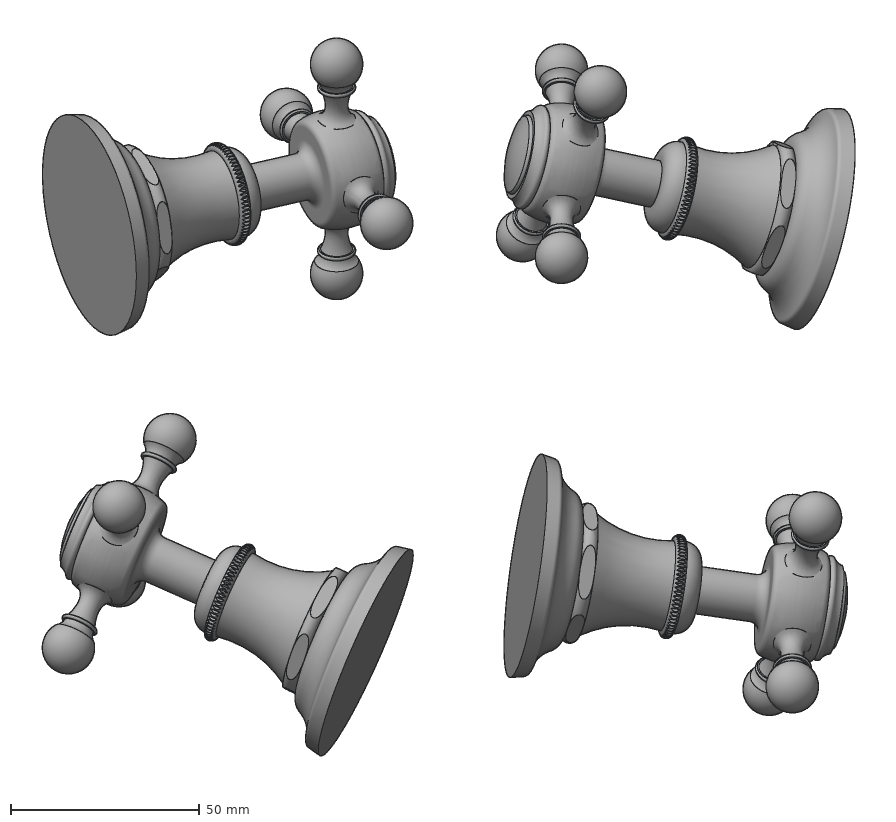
import cadquery as cq
import math

OVERALL_HEIGHT = 86.61
OVERALL_SPAN = 77.98

BASE_RADIUS = 30.0
RIM_RADIUS = 29.3
RIM_HEIGHT = 3.5
RIM_ROUND = 1.0
FLANGE_WAIST_RADIUS = 21.6
FLANGE_WAIST_HEIGHT = 9.6
FLANGE_TOP_RADIUS = 17.8
FLANGE_TOP_HEIGHT = 12.2
FLANGE_HOLLOW_SAG = 1.0
FLANGE_CROWN_SAG = 0.6

HEX_RING_RADIUS = 18.8
HEX_RING_BEAD = 2.08
HEX_FLAT_DISTANCE = 17.35
HEX_FLAT_COUNT = 6
HEX_FLAT_TURN = 15.0
HEX_RING_HEIGHT = FLANGE_TOP_HEIGHT + HEX_RING_BEAD

BELL_FOOT_RADIUS = 16.7
BELL_FOOT_HEIGHT = HEX_RING_HEIGHT + HEX_RING_BEAD
BELL_WAIST_RADIUS = 11.8
BELL_WAIST_HEIGHT = 30.5
BELL_TOP_RADIUS = 12.4
BELL_TOP_HEIGHT = 46.2
BELL_TOP_ROUND = 4.8

KNURL_RADIUS = 13.95
KNURL_BEAD = 1.55
KNURL_HEIGHT = 39.8
KNURL_TEETH = 72
KNURL_DEPTH = 0.55
KNURL_TIP_EXCESS = 0.15

SPINDLE_RADIUS = 6.35
SPINDLE_FILLET = 3.0

HUB_RADIUS = 16.1
HUB_CENTER = 72.2
HUB_HALF_BAND = 6.4
HUB_BAND_RADIUS = 14.95
HUB_BOTTOM_RADIUS = 13.2
HUB_EDGE = 1.3
HUB_EDGE_SAG = 0.35
HUB_BOTTOM = HUB_CENTER - HUB_HALF_BAND - HUB_EDGE
HUB_TOP = HUB_CENTER + HUB_HALF_BAND + HUB_EDGE

CAP_GROOVE_RADIUS = 13.4
CAP_BEAD_RADIUS = 14.1
CAP_BEAD_TOP_RADIUS = 13.75
CAP_BEAD_HEIGHT = 1.6
CAP_STEP_RADIUS = 11.95
CAP_STEP_HEIGHT = 83.85
CAP_HOLLOW_SAG = 0.3
CAP_DOME_RADIUS = 10.75
CAP_DOME_EDGE_RADIUS = 10.3
CAP_DOME_EDGE_HEIGHT = 84.8
CAP_EDGE_SAG = 0.15

ARM_COUNT = 4
BALL_RADIUS = 7.0
BALL_CENTER = OVERALL_SPAN / 2 - BALL_RADIUS
BALL_JOINT = 28.15
COLLAR_RADIUS = 5.1
COLLAR_OUTER = 25.5
COLLAR_INNER = 24.4
COLLAR_EDGE = 0.4
COLLAR_SHOULDER_RADIUS = 4.25
COLLAR_FILLET_SAG = 0.3
NECK_RADIUS = 3.05
NECK_POSITION = 20.0
FLARE_RADIUS = 3.6
FLARE_POSITION = 16.9
ARM_FOOT_RADIUS = 5.4
ARM_FOOT = 15.2
ARM_ROOT = 8.0


def turn(profile):
    """Revolve a closed half profile (x = radius) about the Y axis."""
    return profile.close().revolve(360, (0, 0, 0), (0, 1, 0))


def bead_ring(outer_radius, bead, height):
    """Ring whose rim is a half-round bead, filled to the axis."""
    shoulder = outer_radius - bead
    return turn(
        cq.Workplane("XY")
        .moveTo(0, height - bead)
        .lineTo(shoulder, height - bead)
        .threePointArc((outer_radius, height), (shoulder, height + bead))
        .lineTo(0, height + bead)
    )


def prism(points, height, half_thickness):
    """Polygon in the XZ plane, extruded both ways along Y about the given height."""
    return (
        cq.Workplane("XZ", origin=(0, height, 0))
        .polyline(points)
        .close()
        .extrude(half_thickness, both=True)
    )


def polar(radius, degrees):
    angle = math.radians(degrees)
    return (radius * math.sin(angle), radius * math.cos(angle))


def make_flange():
    round_radius = RIM_RADIUS - RIM_ROUND
    return turn(
        cq.Workplane("XY")
        .lineTo(BASE_RADIUS, 0)
        .lineTo(RIM_RADIUS, RIM_HEIGHT)
        .tangentArcPoint((round_radius, RIM_HEIGHT + RIM_ROUND), relative=False)
        .sagittaArc((FLANGE_WAIST_RADIUS, FLANGE_WAIST_HEIGHT), FLANGE_HOLLOW_SAG)
        .sagittaArc((FLANGE_TOP_RADIUS, FLANGE_TOP_HEIGHT), -FLANGE_CROWN_SAG)
        .lineTo(0, FLANGE_TOP_HEIGHT)
    )


def make_hex_ring():
    corner_radius = HEX_FLAT_DISTANCE / math.cos(math.pi / HEX_FLAT_COUNT)
    flat_angle = 360 / HEX_FLAT_COUNT
    corners = []
    for index in range(HEX_FLAT_COUNT):
        corners.append(polar(corner_radius, HEX_FLAT_TURN + (index + 0.5) * flat_angle))
    ring = bead_ring(HEX_RING_RADIUS, HEX_RING_BEAD, HEX_RING_HEIGHT)
    return ring.intersect(prism(corners, HEX_RING_HEIGHT, HEX_RING_BEAD))


def make_bell():
    dome_start = BELL_TOP_HEIGHT - BELL_TOP_ROUND
    return turn(
        cq.Workplane("XY")
        .moveTo(0, HEX_RING_HEIGHT)
        .lineTo(BELL_FOOT_RADIUS, HEX_RING_HEIGHT)
        .lineTo(BELL_FOOT_RADIUS, BELL_FOOT_HEIGHT)
        .threePointArc((BELL_WAIST_RADIUS, BELL_WAIST_HEIGHT), (BELL_TOP_RADIUS, KNURL_HEIGHT))
        .lineTo(BELL_TOP_RADIUS, dome_start)
        .tangentArcPoint((BELL_TOP_RADIUS - BELL_TOP_ROUND, BELL_TOP_HEIGHT), relative=False)
        .lineTo(0, BELL_TOP_HEIGHT)
    )


def make_knurled_ring():
    """Bead ring cut by V grooves; the tooth tips stay part of the bead."""
    pitch = 360 / KNURL_TEETH
    outline = []
    for tooth in range(KNURL_TEETH):
        outline.append(polar(KNURL_RADIUS + KNURL_TIP_EXCESS, tooth * pitch))
        outline.append(polar(KNURL_RADIUS - KNURL_DEPTH, (tooth + 0.5) * pitch))
    ring = bead_ring(KNURL_RADIUS, KNURL_BEAD, KNURL_HEIGHT)
    return ring.intersect(prism(outline, KNURL_HEIGHT, KNURL_BEAD))


def make_spindle():
    return turn(
        cq.Workplane("XY")
        .moveTo(0, KNURL_HEIGHT)
        .lineTo(SPINDLE_RADIUS, KNURL_HEIGHT)
        .lineTo(SPINDLE_RADIUS, HUB_BOTTOM - SPINDLE_FILLET)
        .tangentArcPoint((SPINDLE_RADIUS + SPINDLE_FILLET, HUB_BOTTOM), relative=False)
        .lineTo(SPINDLE_RADIUS + SPINDLE_FILLET, HUB_CENTER)
        .lineTo(0, HUB_CENTER)
    )


def make_hub():
    band_bottom = HUB_CENTER - HUB_HALF_BAND
    band_top = HUB_CENTER + HUB_HALF_BAND
    dome_rise = OVERALL_HEIGHT - CAP_DOME_EDGE_HEIGHT
    dome_sphere = (CAP_DOME_EDGE_RADIUS**2 + dome_rise**2) / (2 * dome_rise)
    dome_middle_radius = CAP_DOME_EDGE_RADIUS / 2
    dome_drop = dome_sphere - math.sqrt(dome_sphere**2 - dome_middle_radius**2)
    dome_middle = (dome_middle_radius, OVERALL_HEIGHT - dome_drop)
    bead_top = HUB_TOP + CAP_BEAD_HEIGHT
    return turn(
        cq.Workplane("XY")
        .moveTo(0, HUB_BOTTOM)
        .lineTo(HUB_BOTTOM_RADIUS, HUB_BOTTOM)
        .sagittaArc((HUB_BAND_RADIUS, band_bottom), -HUB_EDGE_SAG)
        .threePointArc((HUB_RADIUS, HUB_CENTER), (HUB_BAND_RADIUS, band_top))
        .tangentArcPoint((CAP_GROOVE_RADIUS, HUB_TOP), relative=False)
        .threePointArc(
            (CAP_BEAD_RADIUS, HUB_TOP + CAP_BEAD_HEIGHT / 2), (CAP_BEAD_TOP_RADIUS, bead_top)
        )
        .sagittaArc((CAP_STEP_RADIUS, CAP_STEP_HEIGHT), CAP_HOLLOW_SAG)
        .lineTo(CAP_DOME_RADIUS, CAP_STEP_HEIGHT)
        .sagittaArc((CAP_DOME_EDGE_RADIUS, CAP_DOME_EDGE_HEIGHT), -CAP_EDGE_SAG)
        .threePointArc(dome_middle, (0, OVERALL_HEIGHT))
    )


def make_arm():
    """One arm along +X: foot flare, neck, collar and ball."""
    joint_radius = math.sqrt(BALL_RADIUS**2 - (BALL_CENTER - BALL_JOINT) ** 2)
    ball_tip = (BALL_CENTER + BALL_RADIUS, 0)
    collar_middle = (COLLAR_INNER + COLLAR_OUTER) / 2
    return (
        cq.Workplane("XY", origin=(0, HUB_CENTER, 0))
        .moveTo(ARM_ROOT, 0)
        .lineTo(ARM_ROOT, ARM_FOOT_RADIUS)
        .lineTo(ARM_FOOT, ARM_FOOT_RADIUS)
        .spline(
            [
                (FLARE_POSITION, FLARE_RADIUS),
                (NECK_POSITION, NECK_RADIUS),
                (COLLAR_INNER, COLLAR_SHOULDER_RADIUS),
            ],
            includeCurrent=True,
        )
        .lineTo(COLLAR_INNER, COLLAR_RADIUS - COLLAR_EDGE)
        .threePointArc((collar_middle, COLLAR_RADIUS), (COLLAR_OUTER, COLLAR_RADIUS - COLLAR_EDGE))
        .lineTo(COLLAR_OUTER, COLLAR_SHOULDER_RADIUS)
        .sagittaArc((BALL_JOINT, joint_radius), -COLLAR_FILLET_SAG)
        .threePointArc((BALL_CENTER, BALL_RADIUS), ball_tip)
        .close()
        .revolve(360, (0, 0, 0), (1, 0, 0))
    )


result = make_flange()
for section in (make_hex_ring(), make_bell(), make_knurled_ring(), make_spindle(), make_hub()):
    result = result.union(section)

arm = make_arm()
for index in range(ARM_COUNT):
    result = result.union(arm.rotate((0, 0, 0), (0, 1, 0), index * 360 / ARM_COUNT))